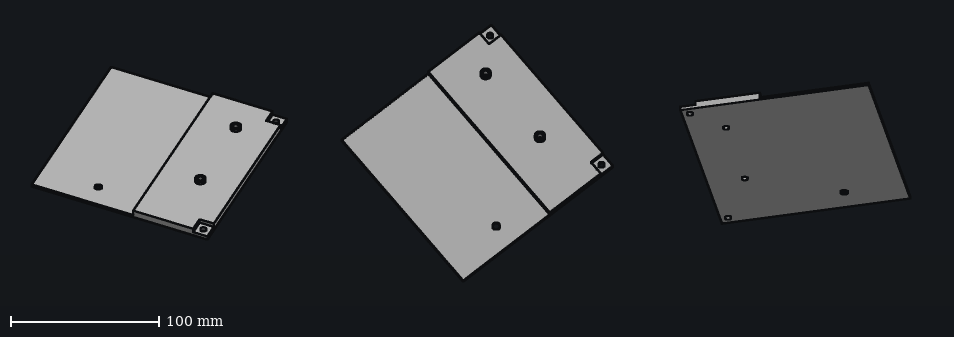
import cadquery as cq

side = 130.0
plate_thickness = 2.0

block_start_x = 75.1
block_top_z = 6.0

recess_side = 10.5
recess_floor_z = 3.0
recess_hole_inset = 5.5

total_height = 8.0
boss_diameter = 7.0
boss_x = 104.0
boss_centers = [(boss_x, 46.0), (boss_x, 104.0)]

screw_hole_diameter = 4.0
plate_hole_diameter = 5.0
plate_hole_center = (42.0, 16.4)


def box_between(low, high):
    """Axis-aligned box spanning two opposite corner points."""
    sizes = [top - bottom for bottom, top in zip(low, high)]
    return cq.Workplane("XY").box(*sizes, centered=False).translate(low)


def cylinders(centers, diameter, bottom_z, top_z):
    """Upright cylinders of one diameter at the given XY centers."""
    return (
        cq.Workplane("XY", origin=(0, 0, bottom_z))
        .pushPoints(centers)
        .circle(diameter / 2)
        .extrude(top_z - bottom_z)
    )


plate = box_between((0, 0, 0), (side, side, plate_thickness))
block = box_between((block_start_x, 0, 0), (side, side, block_top_z))
body = plate.union(block)

recess_start_x = side - recess_side
for recess_start_y in (0, side - recess_side):
    recess = box_between(
        (recess_start_x, recess_start_y, recess_floor_z),
        (side, recess_start_y + recess_side, block_top_z),
    )
    body = body.cut(recess)

body = body.union(cylinders(boss_centers, boss_diameter, 0, total_height))

recess_hole_x = side - recess_hole_inset
recess_hole_centers = [
    (recess_hole_x, recess_hole_inset),
    (recess_hole_x, side - recess_hole_inset),
]
screw_hole_centers = recess_hole_centers + boss_centers
body = body.cut(cylinders(screw_hole_centers, screw_hole_diameter, 0, total_height))
body = body.cut(cylinders([plate_hole_center], plate_hole_diameter, 0, total_height))

result = body